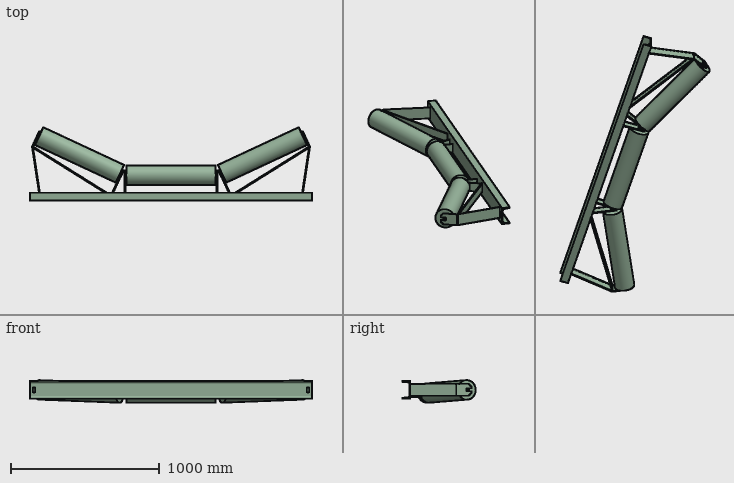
import cadquery as cq
import math


channel_length = 1900
channel_height = 120.0
channel_depth = 55.0
web_thickness = 8.0
flange_thickness = 10.0
flange_slope = 0.08
root_radius = 9.0
toe_radius = 4.5
mount_slot_length = 36.0
mount_slot_width = 19.0
mount_slot_x = 922.0

roller_diameter = 133.0
roller_length = 600.0
shaft_diameter = 20.0
middle_roller_y = 115.0
middle_roller_z = -20.0
side_roller_x = 615.0
side_roller_y = 253.0
trough_angle = 25
tilt_angle = 2

plate_thickness = 8.0
roller_gap = 5.0
outer_plate_width = 80.0
narrow_plate_width = 60.0
tip_above_axis = 28.0
bend_below_axis = 85.0
tip_chamfer = 19.0
outer_foot_x = 890.0
brace_foot_x = 440.0
inner_bracket_peak_y = 150.0

shaft_half_length = roller_length / 2 + roller_gap + plate_thickness
trough = math.radians(trough_angle)
tilt = math.radians(tilt_angle)
side_roller_z = middle_roller_z + roller_length / 2 * math.sin(tilt)
foot_overrun = 19.0


def side_roller_plane():
    """Plane at the middle of the +X roller, square to its axis, with its y square to Z and upward."""
    return cq.Plane(
        origin=(side_roller_x, side_roller_y, side_roller_z),
        xDir=(
            math.cos(trough) * math.sin(tilt),
            math.sin(trough) * math.sin(tilt),
            -math.cos(tilt),
        ),
        normal=(
            math.cos(trough) * math.cos(tilt),
            math.sin(trough) * math.cos(tilt),
            math.sin(tilt),
        ),
    )


def middle_roller_plane():
    """Plane at the middle of the middle roller, square to its axis, with its x pointing to +Z."""
    return cq.Plane(
        origin=(0, middle_roller_y, middle_roller_z), xDir=(0, 0, 1), normal=(1, 0, 0)
    )


def plan_point(along, above):
    """Plan point of the +X side, measured along and square to that side's roller axis."""
    return (
        side_roller_x + along * math.cos(trough) - above * math.sin(trough),
        side_roller_y + along * math.sin(trough) + above * math.cos(trough),
    )


def extend_to(start, through, y):
    """Point at height y on the plan line from start through another point."""
    share = (y - start[1]) / (through[1] - start[1])
    return (start[0] + share * (through[0] - start[0]), y)


def offset_path(points, distance):
    """Plan path moved to its left by a distance, with mitred corners."""
    normals = []
    for (x0, y0), (x1, y1) in zip(points, points[1:]):
        length = math.hypot(x1 - x0, y1 - y0)
        normals.append(((y0 - y1) / length, (x1 - x0) / length))
    before = normals[:1] + normals
    after = normals + normals[-1:]
    moved = []
    for (x, y), (ax, ay), (bx, by) in zip(points, before, after):
        reach = distance / (1 + ax * bx + ay * by)
        moved.append((x + reach * (ax + bx), y + reach * (ay + by)))
    return moved


def bent_plate(points, middle_z, width):
    """Plate whose face follows a plan path, thickened to the left and trimmed at Y = 0."""
    outline = points + offset_path(points, plate_thickness)[::-1]
    plate = (
        cq.Workplane("XY", origin=(0, 0, middle_z - width / 2))
        .polyline(outline)
        .close()
        .extrude(width)
    )
    below_channel_back = (
        cq.Workplane("XY")
        .box(channel_length, 2 * foot_overrun, 2 * channel_height)
        .translate((0, -foot_overrun, 0))
    )
    return plate.cut(below_channel_back)


def on_both_sides(body):
    """A body of the +X side and its mirror image, as two separate solids."""
    return [body.val(), body.mirror("YZ").val()]


def centred_cylinder(plane, diameter, length):
    """Cylinder along a plane's normal, with its middle on the plane."""
    return (
        cq.Workplane(plane)
        .workplane(offset=-length / 2)
        .circle(diameter / 2)
        .extrude(length)
    )


def shaft_bar(plane):
    """Full-length shaft of the roller on a plane."""
    return centred_cylinder(plane, shaft_diameter, 2 * shaft_half_length)


def make_channel():
    """Channel with tapered flanges, rounded roots and toes, and a mounting slot at each end."""
    taper = flange_slope * channel_depth / 2
    half = channel_height / 2
    toe_z = half - flange_thickness + taper
    root_z = half - flange_thickness - taper + flange_slope * web_thickness
    outline = [
        (0, -half),
        (0, half),
        (-channel_depth, half),
        (-channel_depth, toe_z),
        (-web_thickness, root_z),
        (-web_thickness, -root_z),
        (-channel_depth, -toe_z),
        (-channel_depth, -half),
    ]
    channel = (
        cq.Workplane("YZ", origin=(-channel_length / 2, 0, 0))
        .polyline(outline)
        .close()
        .extrude(channel_length)
    )
    for y, z, radius in ((-web_thickness, root_z, root_radius), (-channel_depth, toe_z, toe_radius)):
        for end_z in (z, -z):
            channel = channel.edges(cq.NearestToPointSelector((0, y, end_z))).fillet(radius)
    mount_slots = (
        cq.Workplane("XZ", origin=(0, -2 * web_thickness, 0))
        .pushPoints([(-mount_slot_x, 0), (mount_slot_x, 0)])
        .slot2D(mount_slot_length, mount_slot_width, 90)
        .extrude(-3 * web_thickness)
    )
    return channel.cut(mount_slots)


def make_roller(plane):
    """Barrel with a shaft stub at each end."""
    barrel = centred_cylinder(plane, roller_diameter, roller_length)
    return barrel.union(shaft_bar(plane))


def make_outer_bracket():
    """Bent end plate with a chamfered tip and an open slot for the shaft."""
    bracket = bent_plate(outer_path, 0, outer_plate_width)
    tip_direction = cq.Vector(-math.sin(trough), math.cos(trough), 0)
    tip_face = bracket.faces(cq.selectors.DirectionMinMaxSelector(tip_direction))
    bracket = tip_face.edges("#Z").chamfer(tip_chamfer)
    slot_mouth = 2 * tip_above_axis
    opening = (
        cq.Workplane(side_roller_plane())
        .center(0, slot_mouth / 2)
        .rect(shaft_diameter, slot_mouth)
        .extrude(shaft_half_length + plate_thickness)
    )
    return bracket.cut(opening).cut(shaft_bar(side_roller_plane()))


def make_inner_bracket():
    """Plate folded over a narrow peak, with one leg for each of its two rollers."""
    bracket = bent_plate(inner_path, middle_roller_z, narrow_plate_width)
    return bracket.cut(shaft_bar(side_roller_plane())).cut(shaft_bar(middle_roller_plane()))


def make_brace(outer_bracket):
    """Straight plate from the bend of the outer bracket down to the channel."""
    brace = bent_plate(brace_path, 0, narrow_plate_width)
    return brace.cut(outer_bracket)


outer_bend = plan_point(shaft_half_length, -bend_below_axis)
outer_tip = plan_point(shaft_half_length, tip_above_axis)
outer_foot = extend_to(outer_bend, (outer_foot_x, 0), -foot_overrun)
outer_path = [outer_foot, outer_bend, outer_tip]

fold_y = inner_bracket_peak_y - plate_thickness
side_leg_top = extend_to(plan_point(-shaft_half_length, 0), plan_point(-shaft_half_length, 19), fold_y)
side_leg_foot = extend_to(side_leg_top, plan_point(-shaft_half_length, 0), -foot_overrun)
inner_path = [
    (shaft_half_length, -foot_overrun),
    (shaft_half_length, fold_y),
    side_leg_top,
    side_leg_foot,
]

brace_top = offset_path(outer_path, plate_thickness / 2)[1]
brace_foot = extend_to(brace_top, (brace_foot_x, 0), -foot_overrun)
brace_path = offset_path([brace_foot, brace_top], -plate_thickness / 2)

channel = make_channel()
middle_roller = make_roller(middle_roller_plane())
side_rollers = on_both_sides(make_roller(side_roller_plane()))
outer_bracket = make_outer_bracket()
outer_brackets = on_both_sides(outer_bracket)
inner_brackets = on_both_sides(make_inner_bracket())
braces = on_both_sides(make_brace(outer_bracket))

result = cq.Compound.makeCompound([
    channel.val(),
    middle_roller.val(),
    *side_rollers,
    *outer_brackets,
    *inner_brackets,
    *braces,
])